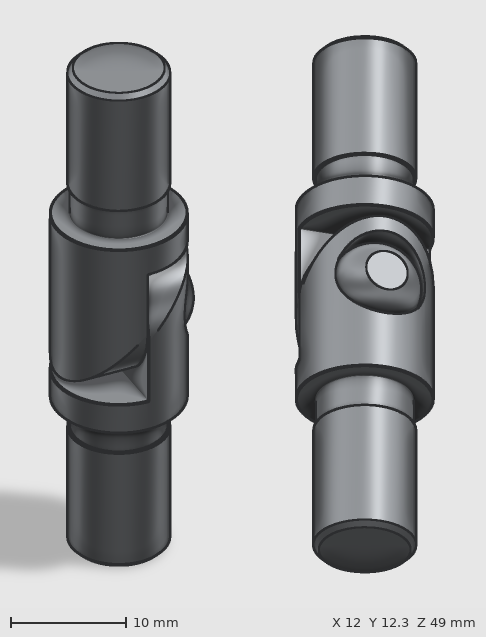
import cadquery as cq
import math


total_length = 49.0
yoke_diameter = 12.0
shank_diameter = 8.95
shank_length = 12.0
tip_chamfer = 0.5
neck_diameter = 8.55
neck_length = 3.0
flange_thickness = 3.0
tongue_clearance = 1.0
edge_break = 0.1
pin_diameter = 8.2
pin_crown_height = 6.3
dome_center = 2.7
pin_depth = 3.0

yoke_radius = yoke_diameter / 2
shank_radius = shank_diameter / 2
neck_radius = neck_diameter / 2
shank_end = total_length / 2
neck_top = shank_end - shank_length
flange_top = neck_top - neck_length
flange_bottom = flange_top - flange_thickness
tongue_tip = tongue_clearance - flange_bottom
tongue_round_center = tongue_tip + yoke_radius
pin_radius = pin_diameter / 2
crown_radius = math.sqrt(pin_radius**2 - (pin_crown_height - dome_center)**2)


def y_cylinder(radius, y_start, y_end, z=0.0):
    """Solid cylinder along +Y from y_start to y_end."""
    base = cq.Workplane("XZ", origin=(0, y_start, z))
    return base.circle(radius).extrude(y_start - y_end)


def make_blank():
    """Turned bar with the shank, the neck and the full-round yoke body."""
    root_arc_middle = edge_break * (1 - math.sqrt(0.5))
    return (
        cq.Workplane("XZ")
        .moveTo(0, tongue_tip)
        .lineTo(yoke_radius, tongue_tip)
        .lineTo(yoke_radius, flange_top - edge_break)
        .lineTo(yoke_radius - edge_break, flange_top)
        .lineTo(neck_radius + edge_break, flange_top)
        .threePointArc(
            (neck_radius + root_arc_middle, flange_top + root_arc_middle),
            (neck_radius, flange_top + edge_break),
        )
        .lineTo(neck_radius, neck_top)
        .lineTo(shank_radius - edge_break, neck_top)
        .lineTo(shank_radius, neck_top + edge_break)
        .lineTo(shank_radius, shank_end - tip_chamfer)
        .lineTo(shank_radius - tip_chamfer, shank_end)
        .lineTo(0, shank_end)
        .close()
        .revolve(360, (0, 0), (0, 1))
    )


def cut_joint_step(blank):
    """Cut away the +Y half below the flange, leaving a fillet in the inner corner."""
    step = cq.Workplane("XY", origin=(0, 0, tongue_tip)).box(
        yoke_diameter, yoke_radius, flange_bottom - tongue_tip, centered=(True, False, False)
    )
    return blank.cut(step.edges("<Y and >Z").fillet(edge_break))


def round_tongue_tip(yoke):
    """Round the free end of the tongue about an axis along Y."""
    corner_block = cq.Workplane("XY", origin=(0, 0, tongue_tip)).box(
        yoke_diameter, yoke_diameter, yoke_radius, centered=(True, True, False)
    )
    rounded_end = y_cylinder(yoke_radius, -yoke_radius, yoke_radius, tongue_round_center)
    return yoke.cut(corner_block.cut(rounded_end))


def chamfer_joint_face(yoke):
    """Chamfer the two sides and the rounded end of the joint face."""
    joint_face = yoke.faces(cq.selectors.NearestToPointSelector((0, 0, 0)))
    return joint_face.edges("not |X").chamfer(edge_break)


def make_yoke():
    """Upper yoke without its pin bore."""
    return chamfer_joint_face(round_tongue_tip(cut_joint_step(make_blank())))


def make_upper_yoke():
    """Yoke whose tongue has a blind bore for the inner end of the pin."""
    return make_yoke().cut(y_cylinder(pin_radius, -pin_depth, 0))


def make_lower_yoke():
    """Yoke turned half a revolution about X, with the pin bore right through its tongue."""
    turned = make_yoke().rotate((0, 0, 0), (1, 0, 0), 180)
    return turned.cut(y_cylinder(pin_radius, 0, yoke_radius))


def make_pin():
    """Straight pin with a spherical dome cut flat at the crown, turned about Y."""
    dome_middle = pin_radius * math.sqrt(0.5)
    return (
        cq.Workplane("XY")
        .moveTo(0, -pin_depth)
        .lineTo(pin_radius, -pin_depth)
        .lineTo(pin_radius, dome_center)
        .threePointArc(
            (dome_middle, dome_center + dome_middle),
            (crown_radius, pin_crown_height),
        )
        .lineTo(0, pin_crown_height)
        .close()
        .revolve(360, (0, 0), (0, 1))
    )


upper_yoke = make_upper_yoke().solids()
lower_yoke = make_lower_yoke().solids()
pin = make_pin()

result = cq.Compound.makeCompound([upper_yoke.val(), lower_yoke.val(), pin.val()])